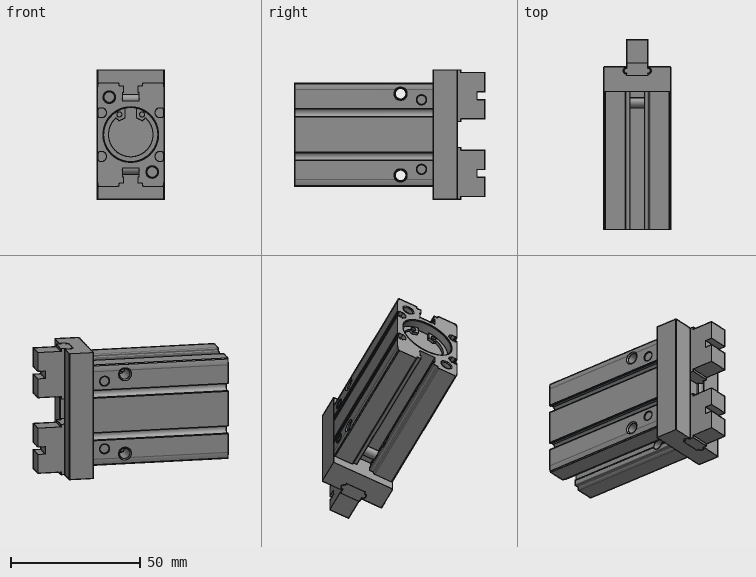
import cadquery as cq
import math


TOTAL_LENGTH = 73.6
PROFILE_LENGTH = 53.5
HEAD_THICKNESS = 9.6
HEAD_TOP = PROFILE_LENGTH + HEAD_THICKNESS

WIDTH = 26.0
HEIGHT = 40.05
CORNER_FACE_WIDTH = 24.6
CORNER_DEPTH = 0.4
CROWN_INSET = 0.3
CROWN_DEPTH = 2.6

STEP_WIDTH = 9.1
STEP_DEPTH = 1.25
STEP_ROUND = 0.45
SLOT_WIDTH = 5.6
SLOT_ROUND = 0.2
UNDERCUT_WIDTH = 6.5
UNDERCUT_TOP = 16.35
SLOT_FLOOR = 12.95

GROOVE_DIAMETER = 4.0
GROOVE_HEIGHT = 3.75
GROOVE_CORNER = 0.2
GROOVE_MOUTH = 2.8
GROOVE_LIP = 0.6
GROOVE_LIP_CHAMFER = 0.2
GROOVE_AXIS_X = 11.4
GROOVE_AXIS_Z = 8.5

BORE_DIAMETER = 21.0
BORE_CHAMFER = 0.3
RING_INNER_DIAMETER = 17.2
RING_FRONT = 3.2
RING_THICKNESS = 1.0
BORE_DEPTH = RING_FRONT + RING_THICKNESS
RING_GAP = 4.6
EAR_HOLE_DIAMETER = 2.0
EAR_HOLE_X = 4.4
EAR_HOLE_Z = 7.8
EAR_INNER_Z = 6.4
EAR_TIP = (4.6, 5.3)
EAR_OUTER = (5.75, 6.55)

PORT_DIAMETER = 4.1
PORT_CHAMFER = 0.4
PORT_DEPTH = 10.3
PORT_X = 8.3
PORT_Z = 14.5

MOUNT_DIAMETER = 4.1
MOUNT_CHAMFER = 0.5
MOUNT_Y = 41.0
MOUNT_Z = 15.8
PIN_DIAMETER = 4.0
PIN_DISH_DEPTH = 0.2
PIN_Y = 49.1
PIN_Z = 13.5

HEAD_HEIGHT = 50.2
HEAD_CHAMFER = 0.2
FINGER_WIDTH = 8.25
FINGER_FLOOR = 59.6
BEAD_RADIUS = 1.0
RACE_RADIUS = 1.25
BEAD_Y = 61.5
FLANGE_TOP = 64.5
FLANGE_HEIGHT = 20.1
FLANGE_CHAMFER = 0.2
JAW_HEIGHT = 18.0
NOTCH_WIDTH = 2.95
NOTCH_DEPTH = 2.95

SIDES = (-1, 1)


def along_y(start=0.0):
    """Workplane whose local axes are X and Z; a negative extrusion runs toward +Y."""
    return cq.Workplane("XZ", origin=(0, start, 0))


def box(width, y_start, y_end, height, z_center=0.0):
    """Block centred on X that fills a stretch of Y."""
    size_y = y_end - y_start
    return cq.Workplane("XY").box(width, size_y, height).translate((0, (y_start + y_end) / 2, z_center))


def disc(diameter, y_start, y_end, x=0.0, z=0.0):
    """Cylinder along Y."""
    return along_y(y_start).center(x, z).circle(diameter / 2).extrude(y_start - y_end)


def cross_bar(diameter, length, y, z):
    """Cylinder along X, centred on X = 0."""
    plane = cq.Workplane("YZ", origin=(-length / 2, 0, 0))
    return plane.center(y, z).circle(diameter / 2).extrude(length)


def mouth_cone(diameter, chamfer):
    """Conical chamfer that opens a hole toward -Y at the plane Y = 0."""
    radius = diameter / 2
    cone = cq.Solid.makeCone(radius + chamfer, radius, chamfer, cq.Vector(0, 0, 0), cq.Vector(0, 1, 0))
    return cq.Workplane(obj=cone)


def make_profile():
    """Extruded housing outline with slightly crowned edges."""
    side = WIDTH / 2
    top = HEIGHT / 2
    crown_start = top - CROWN_DEPTH
    crown_end = top - CORNER_DEPTH
    crown_length = crown_end - crown_start
    crown_radius = (crown_length**2 + CROWN_INSET**2) / (2 * CROWN_INSET)
    crown_mid_x = side - crown_radius + math.sqrt(crown_radius**2 - (crown_length / 2) ** 2)
    crown_mid_z = crown_start + crown_length / 2
    quarter = (
        along_y()
        .lineTo(side, 0)
        .lineTo(side, crown_start)
        .threePointArc((crown_mid_x, crown_mid_z), (side - CROWN_INSET, crown_end))
        .lineTo(CORNER_FACE_WIDTH / 2, top)
        .lineTo(0, top)
        .close()
        .extrude(-PROFILE_LENGTH)
    )
    half = quarter.union(quarter.mirror("YZ"))
    return half.union(half.mirror("XY")).clean()


def make_top_slot():
    """Stepped slot, undercut at its floor, along the top of the profile."""
    top = HEIGHT / 2
    ledge = top - STEP_DEPTH
    step = STEP_WIDTH / 2
    slot = SLOT_WIDTH / 2
    step_bend = STEP_ROUND * (1 - math.sqrt(0.5))
    slot_bend = SLOT_ROUND * (1 - math.sqrt(0.5))
    half = (
        along_y()
        .moveTo(0, SLOT_FLOOR)
        .lineTo(UNDERCUT_WIDTH / 2, SLOT_FLOOR)
        .lineTo(UNDERCUT_WIDTH / 2, UNDERCUT_TOP)
        .lineTo(slot, UNDERCUT_TOP)
        .lineTo(slot, ledge - SLOT_ROUND)
        .threePointArc((slot + slot_bend, ledge - slot_bend), (slot + SLOT_ROUND, ledge))
        .lineTo(step - STEP_ROUND, ledge)
        .threePointArc((step - step_bend, ledge + step_bend), (step, ledge + STEP_ROUND))
        .lineTo(step, top - STEP_ROUND)
        .threePointArc((step + step_bend, top - step_bend), (step + STEP_ROUND, top))
        .lineTo(0, top)
        .close()
        .extrude(-PROFILE_LENGTH)
    )
    return half.union(half.mirror("YZ"))


def make_sensor_groove(side_x, side_z):
    """Groove with a round bottom and flat walls that opens through a narrower, flared mouth."""
    radius = GROOVE_DIAMETER / 2
    wall = GROOVE_HEIGHT / 2
    wall_start = GROOVE_AXIS_X - math.sqrt(radius**2 - wall**2)
    outside = WIDTH / 2
    lip = outside - GROOVE_LIP
    narrow = GROOVE_MOUTH / 2
    wide = narrow + GROOVE_LIP_CHAMFER
    upper = [
        (wall_start, wall),
        (lip - GROOVE_CORNER, wall),
        (lip, wall - GROOVE_CORNER),
        (lip, narrow),
        (outside - GROOVE_LIP_CHAMFER, narrow),
        (outside, wide),
    ]
    lower = [(x, -z) for x, z in reversed(upper)]
    groove = (
        along_y()
        .polyline(upper + lower)
        .threePointArc((GROOVE_AXIS_X - radius, 0), upper[0])
        .close()
        .extrude(-PROFILE_LENGTH)
        .translate((0, 0, side_z * GROOVE_AXIS_Z))
    )
    return groove if side_x > 0 else groove.mirror("YZ")


def make_retaining_ring():
    """Open ring in the bore, with a drilled ear at each side of its gap."""
    ring_end = RING_FRONT + RING_THICKNESS
    rim = disc(BORE_DIAMETER, RING_FRONT, ring_end)
    ring = rim.cut(disc(RING_INNER_DIAMETER, RING_FRONT, ring_end))
    for side in SIDES:
        ear = (
            along_y(RING_FRONT)
            .moveTo(side * RING_GAP / 2, EAR_INNER_Z)
            .lineTo(side * EAR_TIP[0], EAR_TIP[1])
            .lineTo(side * EAR_OUTER[0], EAR_OUTER[1])
            .lineTo(side * EAR_OUTER[0], BORE_DIAMETER / 2)
            .lineTo(side * RING_GAP / 2, BORE_DIAMETER / 2)
            .close()
            .extrude(-RING_THICKNESS)
        )
        ring = ring.union(ear.intersect(rim))
    gap = box(RING_GAP, RING_FRONT, ring_end, BORE_DIAMETER / 2, BORE_DIAMETER / 2)
    ring = ring.cut(gap)
    for side in SIDES:
        ring = ring.cut(disc(EAR_HOLE_DIAMETER, RING_FRONT, ring_end, side * EAR_HOLE_X, EAR_HOLE_Z))
    return ring


def make_bore():
    """Recess of the cylinder, chamfered at its rim."""
    return disc(BORE_DIAMETER, 0, BORE_DEPTH).union(mouth_cone(BORE_DIAMETER, BORE_CHAMFER))


def make_port():
    """Blind air port with a chamfered mouth."""
    return disc(PORT_DIAMETER, 0, PORT_DEPTH).union(mouth_cone(PORT_DIAMETER, PORT_CHAMFER))


def side_cone(side, diameter, depth, y, z):
    """Conical recess in a side face that narrows inward at 45 degrees to the given diameter."""
    face_center = cq.Vector(side * WIDTH / 2, y, z)
    cone = cq.Solid.makeCone(diameter / 2 + depth, diameter / 2, depth, face_center, cq.Vector(-side, 0, 0))
    return cq.Workplane(obj=cone)


def make_mount_hole(z):
    """Hole across the housing, chamfered at both ends."""
    hole = cross_bar(MOUNT_DIAMETER, WIDTH, MOUNT_Y, z)
    for side in SIDES:
        hole = hole.union(side_cone(side, MOUNT_DIAMETER, MOUNT_CHAMFER, MOUNT_Y, z))
    return hole


def make_lever_pin(z):
    """Pin across the housing, with a shallow conical dish in each end."""
    pin = cross_bar(PIN_DIAMETER, WIDTH, PIN_Y, z)
    dish_diameter = PIN_DIAMETER - 2 * PIN_DISH_DEPTH
    for side in SIDES:
        pin = pin.cut(side_cone(side, dish_diameter, PIN_DISH_DEPTH, PIN_Y, z))
    return pin


def make_guide_section(bead_radius, y_top, height):
    """Sliding section of a finger: a bar with a round bead along each side."""
    section = box(FINGER_WIDTH, FINGER_FLOOR, y_top, height)
    for side in SIDES:
        bead = (
            cq.Workplane("XY", origin=(0, 0, -height / 2))
            .center(side * FINGER_WIDTH / 2, BEAD_Y)
            .circle(bead_radius)
            .extrude(height)
        )
        section = section.union(bead)
    return section


def make_housing():
    """Profile, guide head, lever pins and retaining ring in one solid."""
    body = make_profile()
    slot = make_top_slot()
    body = body.cut(slot).cut(slot.mirror("XY"))
    for side_x in SIDES:
        for side_z in SIDES:
            body = body.cut(make_sensor_groove(side_x, side_z))
    for side in SIDES:
        body = body.cut(make_mount_hole(side * MOUNT_Z))
        body = body.cut(cross_bar(PIN_DIAMETER, WIDTH, PIN_Y, side * PIN_Z))
        body = body.union(make_lever_pin(side * PIN_Z))
        body = body.cut(make_port().translate((side * PORT_X, 0, -side * PORT_Z)))
    body = body.cut(make_bore()).union(make_retaining_ring())
    head = box(WIDTH, PROFILE_LENGTH, HEAD_TOP, HEAD_HEIGHT).edges("|Z").chamfer(HEAD_CHAMFER)
    head = head.cut(make_guide_section(RACE_RADIUS, HEAD_TOP, HEAD_HEIGHT))
    return body.union(head)


def make_finger(side):
    """Finger that slides along Z in the guide head."""
    finger = make_guide_section(BEAD_RADIUS, FLANGE_TOP, FLANGE_HEIGHT)
    finger = finger.faces(">Y").edges("|Z").chamfer(FLANGE_CHAMFER)
    finger = finger.union(box(FINGER_WIDTH, FINGER_FLOOR, TOTAL_LENGTH, JAW_HEIGHT))
    finger = finger.cut(box(FINGER_WIDTH, TOTAL_LENGTH - NOTCH_DEPTH, TOTAL_LENGTH, NOTCH_WIDTH))
    return finger.translate((0, 0, side * (HEAD_HEIGHT - FLANGE_HEIGHT) / 2))


housing = make_housing()
fingers = [make_finger(side) for side in SIDES]

result = cq.Compound.makeCompound([housing.val(), *[finger.val() for finger in fingers]])